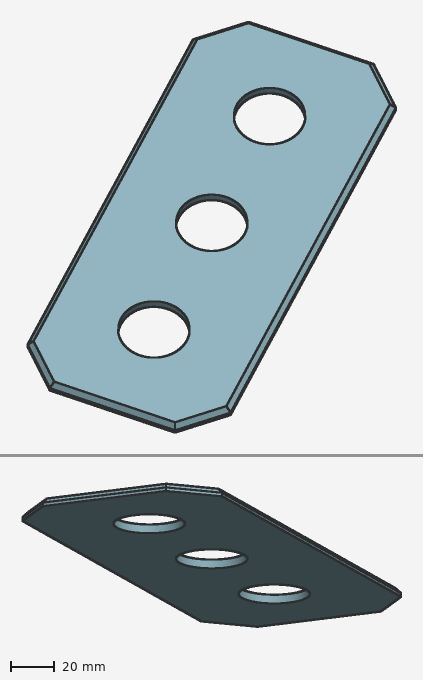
import cadquery as cq

width = 100.71
length = 230.8
thickness = 4.2
corner_cut = 19.3

bevel = 2.5

hole_diameter = 32.6
hole_pitch = 67.2
hole_count = 3


def make_plate():
    """Flat plate with its four corners cut off at 45 degrees, resting on Z = 0."""
    blank = cq.Workplane("XY").box(width, length, thickness, centered=(True, True, False))
    return blank.edges("|Z").chamfer(corner_cut)


def bevel_top(plate):
    """Bevel the whole top rim at 45 degrees."""
    return plate.faces(">Z").edges().chamfer(bevel)


def drill_holes(plate):
    """Drill the through holes along the Y centre line, the row centred on the plate."""
    row_start = -hole_pitch * (hole_count - 1) / 2
    centres = [(0, row_start + i * hole_pitch) for i in range(hole_count)]
    drills = cq.Workplane("XY").pushPoints(centres).circle(hole_diameter / 2).extrude(thickness)
    return plate.cut(drills)


result = drill_holes(bevel_top(make_plate()))